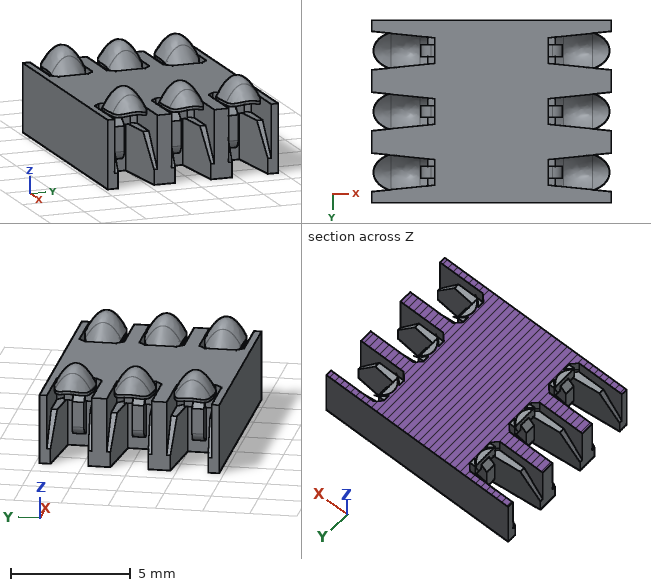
import cadquery as cq
import math

body_length = 10.0
body_width = 7.62
body_height = 3.0
pitch = 2.54
contacts_per_side = 3

slot_width = 1.9
slot_depth = 2.64
slot_chamfer = 0.29

ledge_height = 2.07
ledge_slope_start = 0.67
ledge_slope_depth = 1.02
lower_mouth_width = 1.6
lower_back_width = 1.065

shelf_width = 1.28
shelf_depth = slot_chamfer
shelf_top = 2.72

tongue_width = 0.5
tongue_bottom = 0.6
tongue_top = 2.4
tongue_bevel = 0.3
tongue_reach = shelf_depth + tongue_bevel
tongue_bend_radius = 0.41

overall_height = 3.99
sheet_thickness = 0.13
apex_depth = 1.43
outer_slope = math.radians(38)
inner_slope = math.radians(52.5)
outer_seam_depth = 0.8
outer_seam_height = 3.78
inner_seam_depth = 2.01
inner_seam_height = 3.68
slope_run = 1.2
dome_tip_depth = 0.07
dome_inner_depth = 2.74
dome_half_width = 0.86
dome_drop = 0.92

end_x = -body_length / 2
back_x = end_x + slot_depth


def side_profile(points, width):
    """Extrude an XZ outline symmetrically about Y = 0."""
    return cq.Workplane("XZ").polyline(points).close().extrude(width / 2, both=True)


def make_slot():
    """Cutter for one slot, open at the -X end face."""
    half = slot_width / 2
    plan = [
        (end_x, -half),
        (back_x - slot_chamfer, -half),
        (back_x, -half + slot_chamfer),
        (back_x, half - slot_chamfer),
        (back_x - slot_chamfer, half),
        (end_x, half),
    ]
    upper = cq.Workplane("XY").polyline(plan).close().extrude(body_height)
    above_ledge = side_profile(
        [
            (end_x, ledge_slope_start),
            (end_x + ledge_slope_depth, ledge_height),
            (back_x, ledge_height),
            (back_x, body_height),
            (end_x, body_height),
        ],
        slot_width,
    )
    lower_plan = [
        (end_x, -lower_mouth_width / 2),
        (back_x, -lower_back_width / 2),
        (back_x, lower_back_width / 2),
        (end_x, lower_mouth_width / 2),
    ]
    lower = cq.Workplane("XY").polyline(lower_plan).close().extrude(body_height)
    return upper.intersect(above_ledge).union(lower)


def make_shelf():
    """Block on the back wall, between the ledge and the contact."""
    return side_profile(
        [
            (back_x - shelf_depth, ledge_height),
            (back_x, ledge_height),
            (back_x, shelf_top),
            (back_x - shelf_depth, shelf_top),
        ],
        shelf_width,
    )


def make_tongue():
    """Tongue with a bevelled top and a rounded lower end."""
    front_x = back_x - tongue_reach
    arc_mid = tongue_bend_radius * (1 - math.sqrt(0.5))
    return (
        cq.Workplane("XZ")
        .moveTo(back_x, tongue_bottom)
        .lineTo(front_x + tongue_bend_radius, tongue_bottom)
        .threePointArc(
            (front_x + arc_mid, tongue_bottom + arc_mid),
            (front_x, tongue_bottom + tongue_bend_radius),
        )
        .lineTo(front_x, tongue_top - tongue_bevel)
        .lineTo(front_x + tongue_bevel, tongue_top)
        .lineTo(back_x, tongue_top)
        .close()
        .extrude(tongue_width / 2, both=True)
    )


def make_dome():
    """Parabolic sheet carried along a ridge of two slopes and a rounded crest, trimmed to an oval."""
    outer_seam = (end_x + outer_seam_depth, outer_seam_height)
    apex = (end_x + apex_depth, overall_height)
    inner_seam = (end_x + inner_seam_depth, inner_seam_height)
    start = (outer_seam[0] - slope_run, outer_seam[1] - slope_run * math.tan(outer_slope))
    finish = (inner_seam[0] + slope_run, inner_seam[1] - slope_run * math.tan(inner_slope))
    climbing = (math.cos(outer_slope), math.sin(outer_slope))
    falling = (math.cos(inner_slope), -math.sin(inner_slope))
    ridge = (
        cq.Workplane("XZ")
        .moveTo(*start)
        .lineTo(*outer_seam)
        .spline([outer_seam, apex, inner_seam], tangents=[climbing, (1, 0), falling])
        .lineTo(*finish)
    )
    half = 2 * dome_half_width
    drop = 4 * dome_drop
    sheet = (
        cq.Workplane("YZ", origin=(start[0], 0, start[1]))
        .moveTo(-half, -drop)
        .bezier([(-half, -drop), (0, drop), (half, -drop)])
        .lineTo(half, -drop - sheet_thickness)
        .bezier(
            [
                (half, -drop - sheet_thickness),
                (0, drop - sheet_thickness),
                (-half, -drop - sheet_thickness),
            ]
        )
        .close()
        .sweep(ridge, normal=(1, 0, 0))
    )
    oval = (
        cq.Workplane("XY")
        .center(end_x + (dome_tip_depth + dome_inner_depth) / 2, 0)
        .ellipse((dome_inner_depth - dome_tip_depth) / 2, dome_half_width)
        .extrude(overall_height + sheet_thickness)
    )
    return sheet.intersect(oval)


def at_every_station(shape):
    """Repeat a -X side shape along Y and mirror it to the +X side."""
    placed = []
    for index in range(contacts_per_side):
        y = (index - (contacts_per_side - 1) / 2) * pitch
        moved = shape.translate((0, y, 0))
        placed.append(moved)
        placed.append(moved.mirror("YZ"))
    return placed


result = cq.Workplane("XY").box(
    body_length, body_width, body_height, centered=(True, True, False)
)
for slot in at_every_station(make_slot()):
    result = result.cut(slot)
for feature in (make_shelf(), make_tongue(), make_dome()):
    for placed_feature in at_every_station(feature):
        result = result.union(placed_feature)